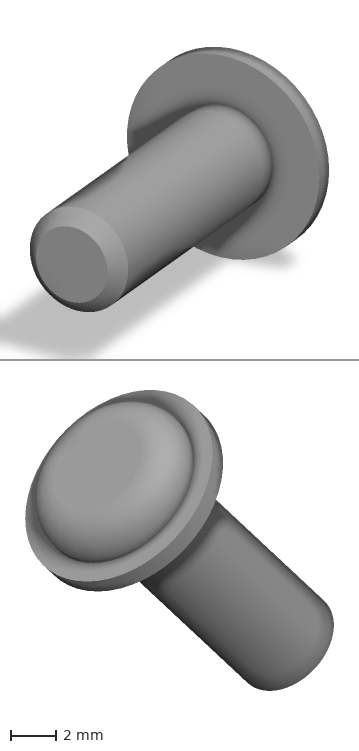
import cadquery as cq

total_length = 16.75
shank_length = 14.0
shank_radius = 2.5
tip_chamfer_length = 0.67
tip_radius = shank_radius - 0.69
flange_radius = 4.87
flange_thickness = 0.9
head_radius = 3.92
head_rim_height = 0.25
crown_radius = 1.59

tip_y = -shank_length
top_y = total_length - shank_length
rim_y = flange_thickness + head_rim_height

crown_centre_y = top_y - crown_radius
flat_top_radius = head_radius - crown_radius
diagonal_offset = crown_radius * 0.5**0.5

half_section = (
    cq.Workplane("XY")
    .moveTo(0, tip_y)
    .lineTo(tip_radius, tip_y)
    .lineTo(shank_radius, tip_y + tip_chamfer_length)
    .lineTo(shank_radius, 0)
    .lineTo(flange_radius, 0)
    .lineTo(flange_radius, flange_thickness)
    .lineTo(head_radius, flange_thickness)
    .lineTo(head_radius, rim_y)
    .threePointArc(
        (flat_top_radius + diagonal_offset, crown_centre_y + diagonal_offset),
        (flat_top_radius, top_y),
    )
    .lineTo(0, top_y)
    .close()
)

result = half_section.revolve(360, (0, 0, 0), (0, 1, 0))